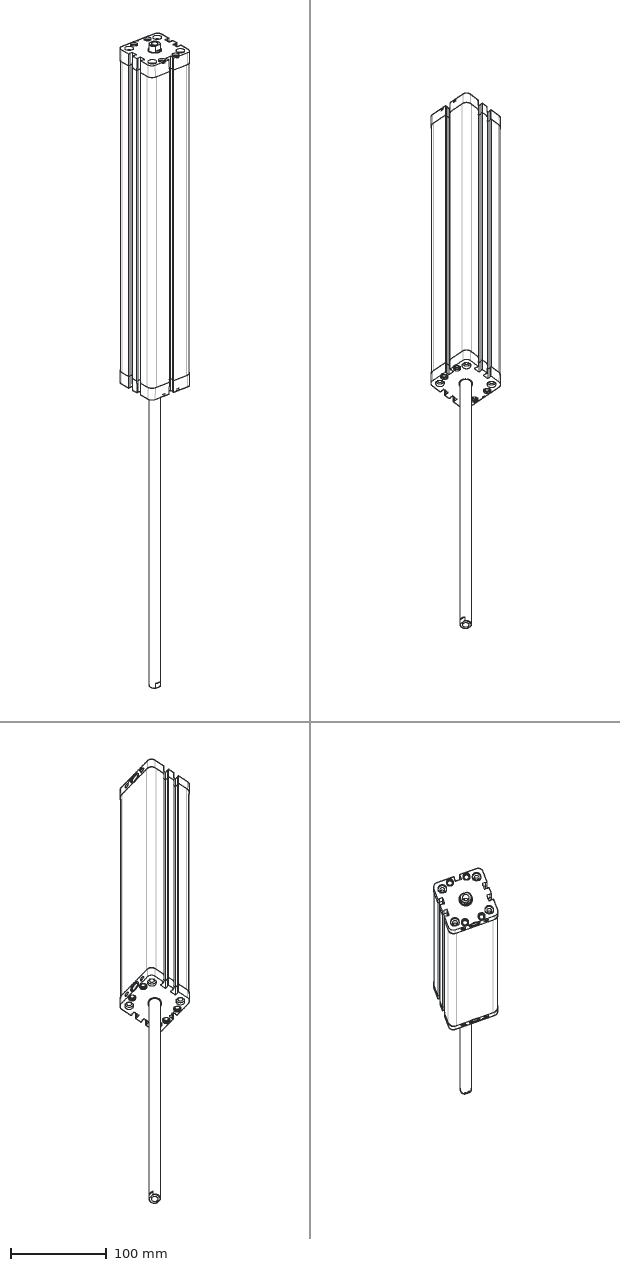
import cadquery as cq


BODY_LENGTH = 395.0
BODY_WIDTH = 54.8
CAP_LENGTH = 14.0
CAP_CORNER_RADIUS = 5.5
CAP_DRAFT = 0.5
BARREL_LENGTH = BODY_LENGTH - 2 * CAP_LENGTH
BARREL_CORNER_RADIUS = 7.0
BORE_DIAMETER = 40.0

SLOT_MOUTH_WIDTH = 6.0
SLOT_INNER_WIDTH = 6.6
SLOT_DEPTH = 5.3
SLOT_LIP = 2.0
SLOT_OFFSET = 6.7

ROD_DIAMETER = 12.0
ROD_TOP_REACH = 7.0
ROD_BOTTOM_REACH = 357.0
ROD_LENGTH = ROD_TOP_REACH + BODY_LENGTH + ROD_BOTTOM_REACH
ROD_CHAMFER = 0.5
ROD_FLATS_WIDTH = 10.0
ROD_FLATS_LENGTH = 6.0
ROD_THREAD_DIAMETER = 6.65
ROD_THREAD_DEPTH = 16.0

RECESS_DIAMETER = 14.0
RECESS_DEPTH = 1.0
CORNER_HOLE_SPACING = 38.0
CORNER_HOLE_DIAMETER = 4.92
CORNER_SINK_DIAMETER = 9.0
CORNER_SINK_DEPTH = 4.0
POCKET_X = 22.8
POCKET_Y = 9.2
POCKET_DIAMETER = 7.5
POCKET_DEPTH = 2.0
POCKET_INNER_DIAMETER = 5.2
POCKET_INNER_DEPTH = 4.0

PORT_DIAMETER = 8.57
PORT_DEPTH = BODY_WIDTH / 2
PORT_SEAT_DIAMETER = 12.0
PORT_SEAT_DEPTH = 1.0
SIDE_HOLE_OFFSET = 12.7
SIDE_HOLE_DIAMETER = 4.92
SIDE_HOLE_DEPTH = 4.0
SIDE_HOLE_INNER_DIAMETER = 2.5
SIDE_HOLE_INNER_DEPTH = 8.0


def make_sensor_slot(length):
    """T-slot opening towards +Y, centred on x = 0."""
    face = BODY_WIDTH / 2
    mouth = cq.Workplane().center(0, face).rect(SLOT_MOUTH_WIDTH, 2 * SLOT_DEPTH).extrude(length)
    inner_height = SLOT_DEPTH - SLOT_LIP
    inner = (
        cq.Workplane()
        .center(0, face - SLOT_LIP - inner_height / 2)
        .rect(SLOT_INNER_WIDTH, inner_height)
        .extrude(length)
    )
    return mouth.union(inner)


def cut_sensor_slots(body, length):
    """Two slots in each of the +Y and -Y faces and one in the +X face."""
    slot = make_sensor_slot(length)
    for x in (-SLOT_OFFSET, SLOT_OFFSET):
        shifted = slot.translate((x, 0, 0))
        body = body.cut(shifted).cut(shifted.mirror("XZ"))
    return body.cut(slot.rotate((0, 0, 0), (0, 0, 1), -90))


def make_slotted_block(corner_radius, length, draft=0):
    outline = cq.Sketch().rect(BODY_WIDTH, BODY_WIDTH).vertices().fillet(corner_radius)
    block = cq.Workplane().placeSketch(outline).extrude(length, taper=draft)
    return cut_sensor_slots(block, length)


def cut_end_holes(cap):
    """Rod passage with its recess, corner holes and pockets, all from the outer face."""
    face = cq.Workplane(origin=(0, 0, CAP_LENGTH))

    def drill(body, points, diameter, depth):
        return body.cut(points.circle(diameter / 2).extrude(-depth))

    cap = drill(cap, face, ROD_DIAMETER, CAP_LENGTH)
    cap = drill(cap, face, RECESS_DIAMETER, RECESS_DEPTH)

    corners = face.rect(CORNER_HOLE_SPACING, CORNER_HOLE_SPACING, forConstruction=True).vertices()
    cap = drill(cap, corners, CORNER_HOLE_DIAMETER, CAP_LENGTH)
    cap = drill(cap, corners, CORNER_SINK_DIAMETER, CORNER_SINK_DEPTH)

    pockets = face.rect(2 * POCKET_X, 2 * POCKET_Y, forConstruction=True).vertices()
    cap = drill(cap, pockets, POCKET_DIAMETER, POCKET_DEPTH)
    return drill(cap, pockets, POCKET_INNER_DIAMETER, POCKET_INNER_DEPTH)


def cut_side_holes(cap):
    """Air port with its seat, and a stepped hole on either side of it, from the -X face."""

    def drill(body, y, diameter, depth):
        face = cq.Workplane("YZ", origin=(-BODY_WIDTH / 2, y, CAP_LENGTH / 2))
        return body.cut(face.circle(diameter / 2).extrude(depth))

    cap = drill(cap, 0, PORT_SEAT_DIAMETER, PORT_SEAT_DEPTH)
    cap = drill(cap, 0, PORT_DIAMETER, PORT_DEPTH)
    for y in (-SIDE_HOLE_OFFSET, SIDE_HOLE_OFFSET):
        cap = drill(cap, y, SIDE_HOLE_DIAMETER, SIDE_HOLE_DEPTH)
        cap = drill(cap, y, SIDE_HOLE_INNER_DIAMETER, SIDE_HOLE_INNER_DEPTH)
    return cap


def make_cap():
    """Cap with its barrel side at z = 0 and its outer face at z = CAP_LENGTH."""
    cap = make_slotted_block(CAP_CORNER_RADIUS, CAP_LENGTH, CAP_DRAFT)
    return cut_side_holes(cut_end_holes(cap))


def make_barrel():
    barrel = make_slotted_block(BARREL_CORNER_RADIUS, BARREL_LENGTH)
    return barrel.cut(cq.Workplane().circle(BORE_DIAMETER / 2).extrude(BARREL_LENGTH))


def make_rod():
    """Rod with two wrench flats and a threaded hole at each end."""
    rod = cq.Workplane().circle(ROD_DIAMETER / 2).extrude(ROD_LENGTH)
    rod = rod.faces("<Z or >Z").chamfer(ROD_CHAMFER)
    for z in (0, ROD_LENGTH - ROD_FLATS_LENGTH):
        end = cq.Workplane(origin=(0, 0, z))
        kept = end.rect(ROD_FLATS_WIDTH, 2 * ROD_DIAMETER).extrude(ROD_FLATS_LENGTH)
        rod = rod.cut(end.circle(ROD_DIAMETER).extrude(ROD_FLATS_LENGTH).cut(kept))
    for z in (0, ROD_LENGTH - ROD_THREAD_DEPTH):
        end = cq.Workplane(origin=(0, 0, z))
        rod = rod.cut(end.circle(ROD_THREAD_DIAMETER / 2).extrude(ROD_THREAD_DEPTH))
    return rod


cap = make_cap()
upper_cap = cap.translate((0, 0, BODY_LENGTH - CAP_LENGTH))
lower_cap = cap.mirror("XY").translate((0, 0, CAP_LENGTH))
barrel = make_barrel().translate((0, 0, CAP_LENGTH))
rod = make_rod().translate((0, 0, -ROD_BOTTOM_REACH))

bodies = [upper_cap, lower_cap, barrel, rod]
result = cq.Compound.makeCompound([body.solids().val() for body in bodies])